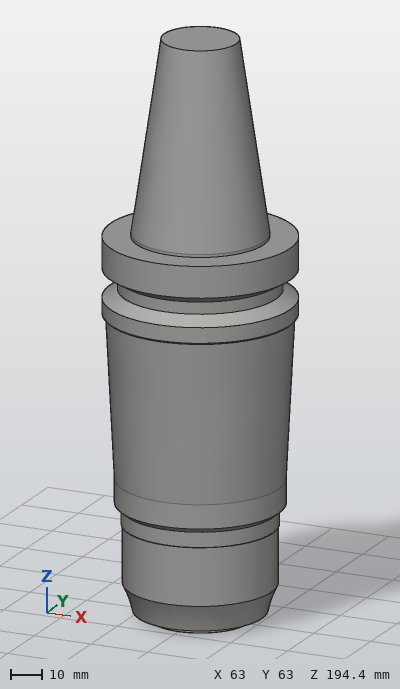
import cadquery as cq


shank_tip_dia = 25.3
shank_base_dia = 44.5
flange_dia = 63.0
groove_dia = 53.0
flange_chamfer_dia = 61.8
body_top_dia = 60.7
body_bottom_dia = 55.0
neck_dia = 50.7
nut_dia = 50.0
nut_mid_dia = 45.9
nut_end_dia = 43.4
nose_dia = 33.6

total_height = 194.4
shank_base_z = 129.0
flange_top_z = 128.1
groove_upper_edge_z = 117.5
groove_upper_floor_z = 114.5
groove_lower_floor_z = 110.5
groove_lower_edge_z = 107.5
flange_chamfer_z = 102.3
flange_bottom_z = 101.7
body_taper_end_z = 46.7
body_chamfer_z = 38.5
neck_top_z = 36.7
nut_top_z = 31.5
nut_curve_z = 11.7
nut_end_z = 2.3
nut_mid_z = (nut_curve_z + nut_end_z) / 2


def rim(diameter, z):
    """Profile point on the rim of the given diameter at height z."""
    return (diameter / 2, z)


upper_outline = [
    (0, total_height),
    rim(shank_tip_dia, total_height),
    rim(shank_base_dia, shank_base_z),
    rim(shank_base_dia, flange_top_z),
    rim(flange_dia, flange_top_z),
    rim(flange_dia, groove_upper_edge_z),
    rim(groove_dia, groove_upper_floor_z),
    rim(groove_dia, groove_lower_floor_z),
    rim(flange_dia, groove_lower_edge_z),
    rim(flange_dia, flange_chamfer_z),
    rim(flange_chamfer_dia, flange_bottom_z),
    rim(body_top_dia, flange_bottom_z),
    rim(body_bottom_dia, body_taper_end_z),
    rim(body_bottom_dia, body_chamfer_z),
    rim(neck_dia, neck_top_z),
    rim(neck_dia, nut_top_z),
    rim(nut_dia, nut_top_z),
    rim(nut_dia, nut_curve_z),
]

profile = (
    cq.Workplane("XZ")
    .polyline(upper_outline)
    .threePointArc(rim(nut_mid_dia, nut_mid_z), rim(nut_end_dia, nut_end_z))
    .lineTo(*rim(nose_dia, nut_end_z))
    .lineTo(*rim(nose_dia, 0))
    .lineTo(0, 0)
    .close()
)

result = profile.revolve(360, (0, 0, 0), (0, 1, 0))